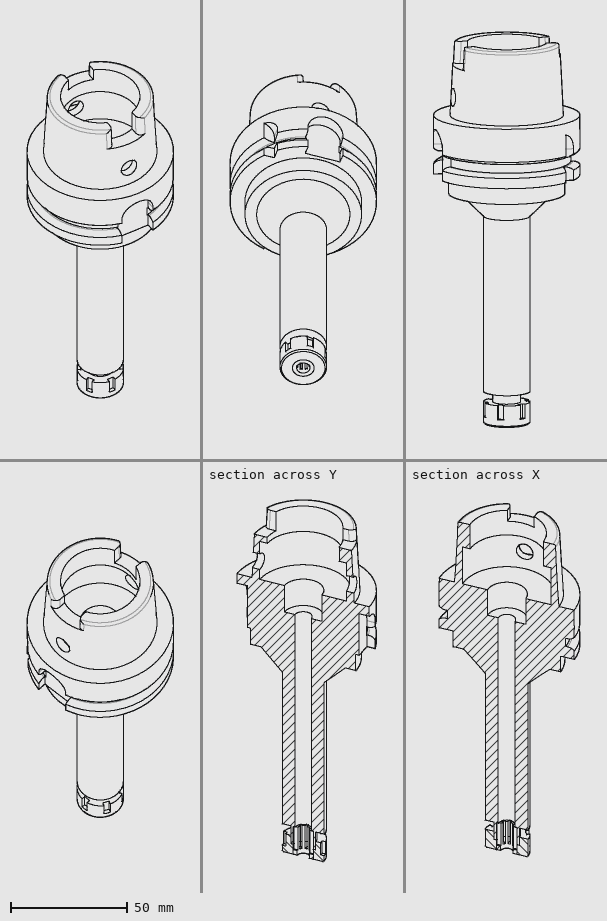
import cadquery as cq
import math

TOTAL_HEIGHT = 167.0
SHANK_HEIGHT = 31.9
FLANGE_HEIGHT = 26.0
COLLAR_HEIGHT = 8.2
NECK_CONE_HEIGHT = 10.0
STEM_BOTTOM_Z = 14.0
NUT_TOP_Z = 9.5

GAUGE_Z = TOTAL_HEIGHT - SHANK_HEIGHT
FLANGE_BOTTOM_Z = GAUGE_Z - FLANGE_HEIGHT
COLLAR_BOTTOM_Z = FLANGE_BOTTOM_Z - COLLAR_HEIGHT
STEM_TOP_Z = COLLAR_BOTTOM_Z - NECK_CONE_HEIGHT

SHANK_BASE_RADIUS = 24.4
SHANK_TAPER = 0.05
SHANK_TOP_RADIUS = SHANK_BASE_RADIUS - SHANK_TAPER * SHANK_HEIGHT
SHANK_TOP_FILLET = 1.2

FLANGE_DIAMETER = 63.0
FLANGE_RADIUS = FLANGE_DIAMETER / 2
GROOVE_SHOULDER_RADIUS = 28.4
GROOVE_FLOOR_RADIUS = 27.5
GROOVE_CENTER_Z = GAUGE_Z - 18.0
GROOVE_MOUTH_WIDTH = 7.0
GROOVE_FLANK_HEIGHT = 1.5

COLLAR_RADIUS = 25.0
STEM_RADIUS = 10.0
CONE_TOP_RADIUS = STEM_RADIUS + NECK_CONE_HEIGHT
NOSE_RADIUS = 6.0
NOSE_BOTTOM_Z = 5.0

BORE_RADIUS = 17.0
BORE_LIP_DEPTH = 12.9
UNDERCUT_RADIUS = 20.5
BORE_DEPTH = SHANK_HEIGHT
TUBE_SEAT_RADIUS = 8.9
TUBE_SEAT_DEPTH = 13.4
COOLANT_RADIUS = 3.8

DRIVE_SLOT_WIDTH = 12.5
SHALLOW_SLOT_DEPTH = 5.7
DEEP_SLOT_DEPTH = 9.7
DRIVE_SLOT_ROUND = 2.3
CROSS_HOLE_RADIUS = 3.8
CROSS_HOLE_Z = TOTAL_HEIGHT - 23.0

KEYWAY_RADIUS = 7.8
KEYWAY_TOP_Z = GAUGE_Z - 5.0
KEYWAY_FLOOR_X = 26.5
NOTCH_TOP_Z = GAUGE_Z - 4.3
NOTCH_FLOOR_X = 20.0
NOTCH_CENTER_Y = 27.5

NUT_RADIUS = STEM_RADIUS
NUT_CHAMFER = 0.7
WRENCH_SLOT_COUNT = 6
WRENCH_SLOT_WIDTH = 2.8
WRENCH_SLOT_FLOOR_RADIUS = 8.4
WRENCH_SLOT_LENGTH = 6.2

COLLET_RADIUS = 4.7
COLLET_BORE_RADIUS = 2.8
COLLET_TOP_Z = STEM_BOTTOM_Z
COLLET_SLIT_COUNT = 8
COLLET_SLIT_WIDTH = 1.0
COLLET_SLIT_BOTTOM_Z = 2.5


def cylinder(radius, bottom_z, top_z):
    return cq.Workplane("XY").workplane(offset=bottom_z).circle(radius).extrude(top_z - bottom_z)


def box_between(x_min, x_max, width, z_min, z_max):
    """Box between the given X and Z limits, centered on Y = 0."""
    return (
        cq.Workplane("XY")
        .box(x_max - x_min, width, z_max - z_min, centered=(False, True, False))
        .translate((x_min, 0, z_min))
    )


def polar_copies(shape, count):
    """Join equally spaced copies of a cutting shape about the Z axis."""
    copies = shape
    for index in range(1, count):
        copies = copies.union(shape.rotate((0, 0, 0), (0, 0, 1), index * 360 / count))
    return copies


def revolve(outline):
    """Turn a closed (radius, z) outline about the Z axis."""
    return cq.Workplane("XZ").polyline(outline).close().revolve(360, (0, 0, 0), (0, 1, 0))


def cut_drive_slot(shank, side, depth):
    """Cut a slot through the shank wall on one X side and round its two outer corners."""
    floor_z = TOTAL_HEIGHT - depth
    end_x = side * FLANGE_RADIUS
    slot = box_between(min(0, end_x), max(0, end_x), DRIVE_SLOT_WIDTH, floor_z, TOTAL_HEIGHT)
    corners = cq.selectors.BoxSelector(
        (side * BORE_RADIUS, -DRIVE_SLOT_WIDTH, floor_z + depth / 4),
        (end_x, DRIVE_SLOT_WIDTH, TOTAL_HEIGHT - depth / 4),
    )
    return shank.cut(slot).edges(corners).fillet(DRIVE_SLOT_ROUND)


def tapered_shank():
    cone = revolve([
        (0, GAUGE_Z),
        (SHANK_BASE_RADIUS, GAUGE_Z),
        (SHANK_TOP_RADIUS, TOTAL_HEIGHT),
        (0, TOTAL_HEIGHT),
    ])
    shank = cut_drive_slot(cone, -1, SHALLOW_SLOT_DEPTH)
    shank = cut_drive_slot(shank, 1, DEEP_SLOT_DEPTH)
    rounded_cone = cone.faces(">Z").edges().fillet(SHANK_TOP_FILLET)
    return shank.intersect(rounded_cone)


def flange():
    """Flange with a groove whose convex flanks end in flat shoulders beside the groove floor."""
    mouth_half = GROOVE_MOUTH_WIDTH / 2
    floor_half = mouth_half - GROOVE_FLANK_HEIGHT
    flank_depth = FLANGE_RADIUS - GROOVE_SHOULDER_RADIUS
    flank_radius = (flank_depth ** 2 + GROOVE_FLANK_HEIGHT ** 2) / (2 * GROOVE_FLANK_HEIGHT)
    middle_angle = math.asin(flank_depth / flank_radius) / 2
    middle_radius = GROOVE_SHOULDER_RADIUS + flank_radius * math.sin(middle_angle)
    middle_half = floor_half + flank_radius * (1 - math.cos(middle_angle))
    return (
        cq.Workplane("XZ")
        .moveTo(0, FLANGE_BOTTOM_Z)
        .lineTo(FLANGE_RADIUS, FLANGE_BOTTOM_Z)
        .lineTo(FLANGE_RADIUS, GROOVE_CENTER_Z - mouth_half)
        .threePointArc(
            (middle_radius, GROOVE_CENTER_Z - middle_half),
            (GROOVE_SHOULDER_RADIUS, GROOVE_CENTER_Z - floor_half),
        )
        .lineTo(GROOVE_FLOOR_RADIUS, GROOVE_CENTER_Z - floor_half)
        .lineTo(GROOVE_FLOOR_RADIUS, GROOVE_CENTER_Z + floor_half)
        .lineTo(GROOVE_SHOULDER_RADIUS, GROOVE_CENTER_Z + floor_half)
        .threePointArc(
            (middle_radius, GROOVE_CENTER_Z + middle_half),
            (FLANGE_RADIUS, GROOVE_CENTER_Z + mouth_half),
        )
        .lineTo(FLANGE_RADIUS, GAUGE_Z)
        .lineTo(0, GAUGE_Z)
        .close()
        .revolve(360, (0, 0, 0), (0, 1, 0))
    )


def flange_keyway(floor_x, side, center_y, top_z):
    """Round-topped slot running along X outward from floor_x and open below the flange."""
    length = FLANGE_RADIUS - floor_x
    arc_center_z = top_z - KEYWAY_RADIUS
    start = side * floor_x
    rounded_end = (
        cq.Workplane("YZ", origin=(start, center_y, arc_center_z))
        .circle(KEYWAY_RADIUS)
        .extrude(side * length)
    )
    straight_part = box_between(
        min(start, side * FLANGE_RADIUS),
        max(start, side * FLANGE_RADIUS),
        2 * KEYWAY_RADIUS,
        FLANGE_BOTTOM_Z,
        arc_center_z,
    ).translate((0, center_y, 0))
    return rounded_end.union(straight_part)


def stem():
    """Collar, 45 degree cone, long stem and threaded nose in one turned shape."""
    return revolve([
        (0, NOSE_BOTTOM_Z),
        (NOSE_RADIUS, NOSE_BOTTOM_Z),
        (NOSE_RADIUS, STEM_BOTTOM_Z),
        (STEM_RADIUS, STEM_BOTTOM_Z),
        (STEM_RADIUS, STEM_TOP_Z),
        (CONE_TOP_RADIUS, COLLAR_BOTTOM_Z),
        (COLLAR_RADIUS, COLLAR_BOTTOM_Z),
        (COLLAR_RADIUS, FLANGE_BOTTOM_Z),
        (0, FLANGE_BOTTOM_Z),
    ])


def inner_passage():
    """Clamping bore with undercut, coolant tube seat, coolant hole and collet seat."""
    lip_z = TOTAL_HEIGHT - BORE_LIP_DEPTH
    bore_floor_z = TOTAL_HEIGHT - BORE_DEPTH
    tube_seat_z = bore_floor_z - TUBE_SEAT_DEPTH
    return revolve([
        (0, NOSE_BOTTOM_Z),
        (COLLET_RADIUS, NOSE_BOTTOM_Z),
        (COLLET_RADIUS, COLLET_TOP_Z),
        (COOLANT_RADIUS, COLLET_TOP_Z),
        (COOLANT_RADIUS, tube_seat_z),
        (TUBE_SEAT_RADIUS, tube_seat_z),
        (TUBE_SEAT_RADIUS, bore_floor_z),
        (UNDERCUT_RADIUS, bore_floor_z),
        (UNDERCUT_RADIUS, lip_z),
        (BORE_RADIUS, lip_z),
        (BORE_RADIUS, TOTAL_HEIGHT),
        (0, TOTAL_HEIGHT),
    ])


def make_holder():
    shank = tapered_shank()
    slotted_flange = flange()
    for side in (-1, 1):
        slotted_flange = slotted_flange.cut(flange_keyway(KEYWAY_FLOOR_X, side, 0, KEYWAY_TOP_Z))
    slotted_flange = slotted_flange.cut(flange_keyway(NOTCH_FLOOR_X, -1, NOTCH_CENTER_Y, NOTCH_TOP_Z))

    cross_hole = (
        cq.Workplane("YZ", origin=(0, 0, CROSS_HOLE_Z))
        .circle(CROSS_HOLE_RADIUS)
        .extrude(FLANGE_RADIUS, both=True)
    )
    return stem().union(slotted_flange).union(shank).cut(inner_passage()).cut(cross_hole)


def make_nut():
    nut = cylinder(NUT_RADIUS, 0, NUT_TOP_Z).faces("<Z").edges().chamfer(NUT_CHAMFER)
    nut = nut.cut(cylinder(COLLET_RADIUS, 0, NUT_TOP_Z))
    nut = nut.cut(cylinder(NOSE_RADIUS, NOSE_BOTTOM_Z, NUT_TOP_Z))
    wrench_slot = box_between(
        WRENCH_SLOT_FLOOR_RADIUS, NUT_RADIUS, WRENCH_SLOT_WIDTH, NUT_TOP_Z - WRENCH_SLOT_LENGTH, NUT_TOP_Z
    )
    return nut.cut(polar_copies(wrench_slot, WRENCH_SLOT_COUNT))


def make_collet():
    """Bored sleeve split by radial slits that stop short of its lower face."""
    collet = cylinder(COLLET_RADIUS, 0, COLLET_TOP_Z).cut(cylinder(COLLET_BORE_RADIUS, 0, COLLET_TOP_Z))
    slit = box_between(0, NOSE_RADIUS, COLLET_SLIT_WIDTH, COLLET_SLIT_BOTTOM_Z, COLLET_TOP_Z)
    return collet.cut(polar_copies(slit, COLLET_SLIT_COUNT))


holder = make_holder()
nut = make_nut()
collet = make_collet()

result = cq.Compound.makeCompound([holder.val(), nut.val(), collet.val()])